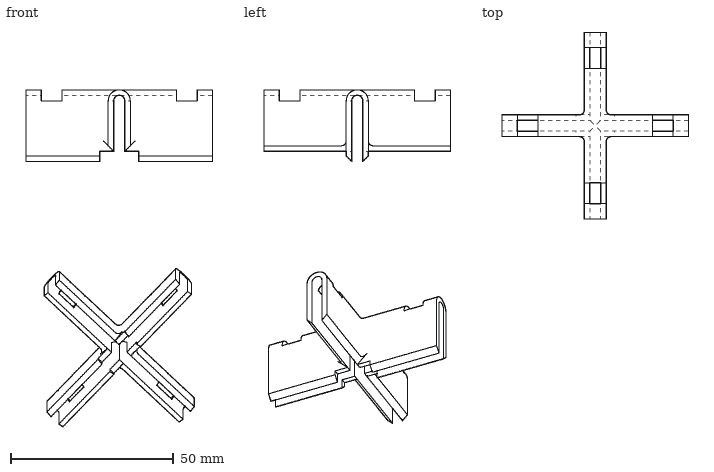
import cadquery as cq

span = 57.55
height = 22.15
short_height = 19.0
arm_width = 6.8
wall = 1.7

corner_radius = 1.5
notch_length = 11.9
window_end_gap = 4.7
window_length = 6.4

outer_radius = arm_width / 2
inner_radius = outer_radius - wall
axis_z = -outer_radius
lip_bevel = wall
window_center = span / 2 - window_end_gap - window_length / 2


def round_top_bar(radius, depth):
    """Bar along X with a half-round top and its flat underside at -depth."""
    return (
        cq.Workplane("YZ", origin=(-span / 2, 0, 0))
        .moveTo(-radius, -depth)
        .lineTo(-radius, axis_z)
        .threePointArc((0, axis_z + radius), (radius, axis_z))
        .lineTo(radius, -depth)
        .close()
        .extrude(span)
    )


def turned(shape):
    """Turn a shape from the X direction to the Y direction."""
    return shape.rotate((0, 0, 0), (0, 0, 1), 90)


def lip_cutter(side, depth):
    """Triangular cutter under the wall on the given side of an X bar."""
    reach = lip_bevel + 2 * corner_radius
    inner = side * inner_radius
    outer = side * (inner_radius + reach)
    return (
        cq.Workplane("YZ", origin=(-span / 2, 0, 0))
        .polyline([(inner, -depth), (outer, -depth + reach), (outer, -depth)])
        .close()
        .extrude(span)
    )


bar = round_top_bar(outer_radius, short_height)
cross = bar.union(turned(bar))
selection_margin = 0.05
selection_reach = outer_radius + selection_margin
corner_box = cq.selectors.BoxSelector(
    (-selection_reach, -selection_reach, -short_height + selection_margin),
    (selection_reach, selection_reach, selection_margin),
)
body = cross.edges(corner_box).fillet(corner_radius)

x_bar_zone = cq.Workplane("XY").box(span, arm_width, 2 * height)
for side in (-1, 1):
    body = body.cut(turned(lip_cutter(side, short_height)).cut(x_bar_zone))

x_bar = round_top_bar(outer_radius, height)
for side in (-1, 1):
    x_bar = x_bar.cut(lip_cutter(side, height))
notch = (
    cq.Workplane("XY", origin=(0, 0, -height))
    .box(notch_length, arm_width, height - short_height, centered=(True, True, False))
)
body = body.union(x_bar.cut(notch))

slot = round_top_bar(inner_radius, height)
body = body.cut(slot).cut(turned(slot))

window = (
    cq.Workplane("XY", origin=(window_center, 0, axis_z))
    .box(window_length, arm_width, outer_radius, centered=(True, True, False))
)
for angle in (0, 90, 180, 270):
    body = body.cut(window.rotate((0, 0, 0), (0, 0, 1), angle))

result = body